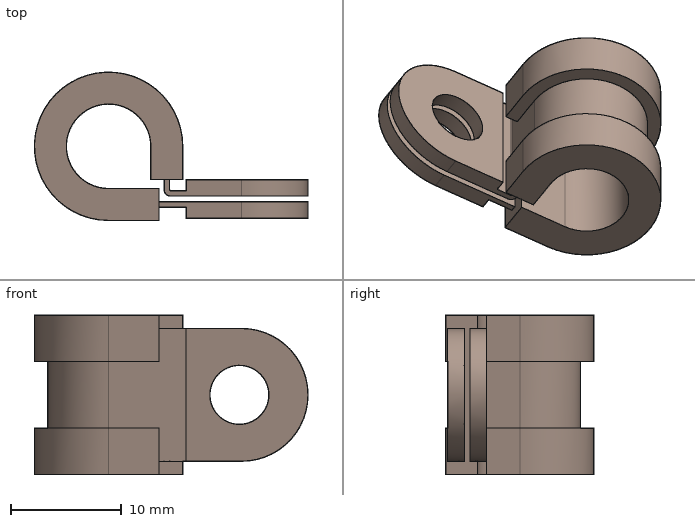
import cadquery as cq

bore_radius = 3.8
cushion_radius = 6.7
cushion_height = 14.4
upper_leg_length = 3.0
lower_leg_length = 4.55

strap_radius = 5.5
strap_thickness = 0.5
strap_height = 12.0
groove_height = 6.0
bend_inner_radius = 0.1
bend_outer_radius = bend_inner_radius + strap_thickness

tab_gap = 0.5
tab_thickness = 1.5
tab_start = 7.0
tab_end = 18.0
hole_diameter = 5.3
hole_x = 11.8

strap_inner_radius = strap_radius - strap_thickness
lower_tab_inner_y = -strap_inner_radius
upper_tab_inner_y = lower_tab_inner_y + tab_gap
tab_round_radius = strap_height / 2
tab_round_x = tab_end - tab_round_radius


def c_band(inner_radius, outer_radius, height):
    """Three-quarter ring with a straight leg at each end, centred on Z = 0."""
    return (
        cq.Workplane("XY")
        .workplane(offset=-height / 2)
        .moveTo(lower_leg_length, -outer_radius)
        .lineTo(0, -outer_radius)
        .threePointArc((-outer_radius, 0), (0, outer_radius))
        .radiusArc((outer_radius, 0), outer_radius)
        .lineTo(outer_radius, -upper_leg_length)
        .lineTo(inner_radius, -upper_leg_length)
        .lineTo(inner_radius, 0)
        .radiusArc((0, inner_radius), -inner_radius)
        .threePointArc((-inner_radius, 0), (0, -inner_radius))
        .lineTo(lower_leg_length, -inner_radius)
        .close()
        .extrude(height)
    )


def cushion():
    """Liner with the strap groove cut around its outside."""
    body = c_band(bore_radius, cushion_radius, cushion_height)
    return body.cut(c_band(strap_radius, cushion_radius, groove_height))


def upper_strap():
    """Strap leaving the upper leg toward -Y and bending into the upper tab."""
    bend_outer_y = upper_tab_inner_y
    bend_inner_y = upper_tab_inner_y + strap_thickness
    return (
        cq.Workplane("XY")
        .workplane(offset=-strap_height / 2)
        .moveTo(strap_inner_radius, -upper_leg_length)
        .lineTo(strap_inner_radius, bend_outer_y + bend_outer_radius)
        .radiusArc((strap_inner_radius + bend_outer_radius, bend_outer_y), -bend_outer_radius)
        .lineTo(tab_start, bend_outer_y)
        .lineTo(tab_start, bend_inner_y)
        .lineTo(strap_radius + bend_inner_radius, bend_inner_y)
        .radiusArc((strap_radius, bend_inner_y + bend_inner_radius), bend_inner_radius)
        .lineTo(strap_radius, -upper_leg_length)
        .close()
        .extrude(strap_height)
    )


def lower_strap():
    """Strap running straight from the lower leg to the lower tab."""
    return cq.Workplane("XY").box(
        tab_start - lower_leg_length, strap_thickness, strap_height, centered=(False, False, True)
    ).translate((lower_leg_length, -strap_radius, 0))


def tab(low_y):
    """Ear spanning tab_thickness above low_y, with its bolt hole."""
    ear = (
        cq.Workplane("XZ", origin=(0, low_y, 0))
        .moveTo(tab_start, -tab_round_radius)
        .lineTo(tab_round_x, -tab_round_radius)
        .threePointArc((tab_end, 0), (tab_round_x, tab_round_radius))
        .lineTo(tab_start, tab_round_radius)
        .close()
        .extrude(-tab_thickness)
    )
    hole = (
        cq.Workplane("XZ", origin=(hole_x, low_y, 0))
        .circle(hole_diameter / 2)
        .extrude(-tab_thickness)
    )
    return ear.cut(hole)


result = (
    cushion()
    .union(upper_strap())
    .union(lower_strap())
    .union(tab(upper_tab_inner_y))
    .union(tab(lower_tab_inner_y - tab_thickness))
)